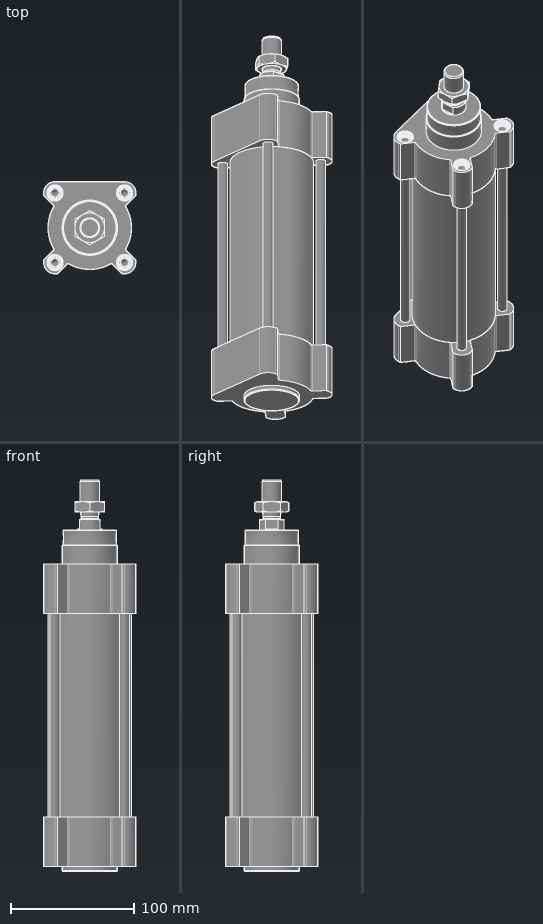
import cadquery as cq
import math


cap_width = 75.0
cap_height = 40.5
cap_body_diameter = 67.6
barrel_diameter = 68.0
barrel_length = 165.0
half_width = cap_width / 2
front_cap_base = cap_height + barrel_length
front_cap_top = front_cap_base + cap_height

tie_spacing = 56.5
tie_offset = tie_spacing / 2
tie_diameter = 8.0
lobe_radius = half_width - tie_offset
lobe_half_width = 8.0
lobe_root_fillet = 1.2

recess_steps = ((13.2, 1.0), (12.0, 2.0), (10.4, 3.0), (8.8, 4.0))
recess_cone_diameter = 6.65
recess_cone_depth = recess_cone_diameter / 2
recess_floor_depth = recess_steps[-1][1]

collar_diameter = 45.0
collar_height = 15.4
collar_chamfer = 0.5
bearing_diameter = 43.8
bearing_waist_diameter = 43.0
bearing_chamfer = 0.6
bearing_height = 12.1
boss_height = 4.0
boss_chamfer = 0.7
collar_top = front_cap_top + collar_height
bearing_top = collar_top + bearing_height

rod_diameter = 20.0
rod_flats_width = 17.0
rod_extension = 68.1
flats_base = bearing_top + 0.8
shoulder_top = bearing_top + 8.4
thread_diameter = 16.0
thread_tip_diameter = 14.38
thread_tip_length = 1.4
groove_diameter = 13.9
groove_flare_diameter = 14.95
groove_flare_length = 0.8
groove_length = 2.6
runout_diameter = 14.38
rod_top = front_cap_top + rod_extension
groove_top = shoulder_top + groove_length

nut_flats_width = 24.0
nut_height = 8.6
nut_base = front_cap_top + 41.9
nut_chamfer_angle = 30.0


def cylinder(diameter, base, height):
    return cq.Workplane("XY").workplane(offset=base).circle(diameter / 2).extrude(height)


def revolve_profile(points):
    """Solid of revolution about Z from (radius, z) points."""
    return cq.Workplane("XZ").polyline(points).close().revolve(360, (0, 0, 0), (0, 1, 0))


def lobe(base):
    """Corner lobe in the +X +Y quadrant, running in to the cylinder axis."""
    flank_offset = lobe_half_width * math.sqrt(2)
    flank_tip = half_width - flank_offset
    return (
        cq.Workplane("XY").workplane(offset=base)
        .moveTo(0, 0)
        .lineTo(0, flank_offset)
        .lineTo(flank_tip, half_width)
        .lineTo(tie_offset, half_width)
        .radiusArc((half_width, tie_offset), lobe_radius)
        .lineTo(half_width, flank_tip)
        .lineTo(flank_offset, 0)
        .close()
        .extrude(cap_height)
    )


def end_cap(base):
    """Round body with four lobes, closed to a flat face on the +Y side."""
    cap = cylinder(cap_body_diameter, base, cap_height)
    for turn in range(4):
        cap = cap.union(lobe(base).rotate((0, 0, 0), (0, 0, 1), 90 * turn))

    root_angle = math.pi / 4 - math.asin(2 * lobe_half_width / cap_body_diameter)
    root_x = cap_body_diameter / 2 * math.cos(root_angle)
    root_y = cap_body_diameter / 2 * math.sin(root_angle)
    for x, y in ((root_x, root_y), (root_y, root_x)):
        for x_side in (1, -1):
            for y_side in (1, -1):
                root = (x_side * x, y_side * y, base + cap_height / 2)
                cap = cap.edges(cq.selectors.NearestToPointSelector(root)).fillet(lobe_root_fillet)

    back_plate = (
        cq.Workplane("XY").workplane(offset=base)
        .center(0, half_width / 2)
        .rect(tie_spacing, half_width)
        .extrude(cap_height)
    )
    return cap.union(back_plate)


def screw_recess():
    """Stepped recess with a conical bottom, cut down from the front cap's top face."""
    cone_rim = front_cap_top - recess_floor_depth
    recess = revolve_profile([
        (0, cone_rim),
        (recess_cone_diameter / 2, cone_rim),
        (0, cone_rim - recess_cone_depth),
    ])
    for diameter, depth in recess_steps:
        recess = recess.union(cylinder(diameter, front_cap_top - depth, depth))
    return recess


def bearing():
    """Slightly waisted ring with a chamfered top edge."""
    radius = bearing_diameter / 2
    waist = (bearing_waist_diameter / 2, collar_top + bearing_height / 2)
    return (
        cq.Workplane("XZ")
        .moveTo(0, collar_top)
        .lineTo(radius, collar_top)
        .threePointArc(waist, (radius, bearing_top - bearing_chamfer))
        .lineTo(radius - bearing_chamfer, bearing_top)
        .lineTo(0, bearing_top)
        .close()
        .revolve(360, (0, 0, 0), (0, 1, 0))
    )


def make_housing():
    barrel = cylinder(barrel_diameter, cap_height, barrel_length)
    collar = cylinder(collar_diameter, front_cap_top, collar_height).faces(">Z").chamfer(collar_chamfer)
    boss = cylinder(collar_diameter, -boss_height, boss_height).faces("<Z").chamfer(boss_chamfer)
    body = barrel.union(end_cap(0)).union(end_cap(front_cap_base))
    body = body.union(collar).union(bearing()).union(boss)
    tie_rod = cylinder(tie_diameter, cap_height, barrel_length)
    for x in (-tie_offset, tie_offset):
        for y in (-tie_offset, tie_offset):
            body = body.union(tie_rod.translate((x, y, 0)))
            body = body.cut(screw_recess().translate((x, y, 0)))
    rod_bore = cylinder(rod_diameter, front_cap_base, bearing_top - front_cap_base)
    return body.cut(rod_bore)


def make_rod():
    shank = cylinder(rod_diameter, front_cap_base, flats_base - front_cap_base)
    shoulder_height = shoulder_top - flats_base
    flats = cq.Workplane("XY").workplane(offset=flats_base).rect(rod_flats_width, rod_diameter)
    shoulder = cylinder(rod_diameter, flats_base, shoulder_height).intersect(flats.extrude(shoulder_height))
    threaded_end = revolve_profile([
        (0, shoulder_top),
        (groove_flare_diameter / 2, shoulder_top),
        (groove_diameter / 2, shoulder_top + groove_flare_length),
        (groove_diameter / 2, groove_top),
        (runout_diameter / 2, groove_top),
        (groove_flare_diameter / 2, nut_base),
        (thread_diameter / 2, nut_base),
        (thread_diameter / 2, rod_top - thread_tip_length),
        (thread_tip_diameter / 2, rod_top),
        (0, rod_top),
    ])
    return shank.union(shoulder).union(threaded_end)


def make_nut():
    """Hexagon with flats facing +X and -X, its corners turned conical at both ends."""
    corner_diameter = nut_flats_width / math.cos(math.pi / 6)
    corner_drop = (corner_diameter - nut_flats_width) / 2 * math.tan(math.radians(nut_chamfer_angle))
    hexagon = (
        cq.Workplane("XY").workplane(offset=nut_base)
        .polygon(6, corner_diameter)
        .extrude(nut_height)
        .rotate((0, 0, 0), (0, 0, 1), 30)
    )
    nut_top = nut_base + nut_height
    turned_blank = revolve_profile([
        (0, nut_base),
        (nut_flats_width / 2, nut_base),
        (corner_diameter / 2, nut_base + corner_drop),
        (corner_diameter / 2, nut_top - corner_drop),
        (nut_flats_width / 2, nut_top),
        (0, nut_top),
    ])
    return hexagon.intersect(turned_blank).cut(cylinder(thread_diameter, nut_base, nut_height))


housing = make_housing()
rod = make_rod()
nut = make_nut()

result = cq.Compound.makeCompound([housing.solids().val(), rod.solids().val(), nut.solids().val()])